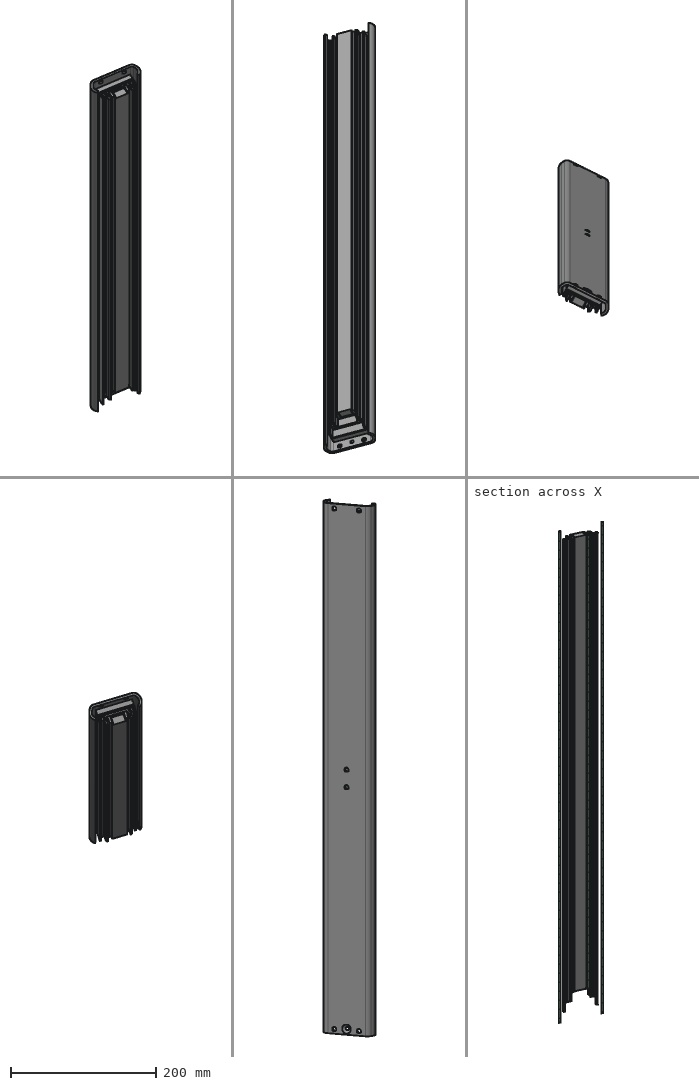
import cadquery as cq
import math

LENGTH = 750.0
WIDTH = 75.0
WALL = 4.0
CORNER_RADIUS = 8.0
SHOULDER_RADIUS = 26.0
CROWN_RADIUS = 11.0
CORNER_END = 57.0
SHOULDER_END = 68.0
CROWN_END = 148.0

HOLE_RADIUS = 3.0
END_HOLE_Y = 18.0
END_HOLE_INSET = 7.0
MIDDLE_HOLE_HEIGHTS = (LENGTH / 2, 350.0)
SUNK_HOLE_HEIGHT = 8.0
SUNK_HOLE_RADIUS = 2.0
SUNK_HEAD_RADIUS = 6.4

END_MARGIN = 15.0
STAGE_STEP = 13.5
SLIDE_TOP = LENGTH - END_MARGIN
OUTER_BOTTOM = END_MARGIN
MIDDLE_BOTTOM = OUTER_BOTTOM + STAGE_STEP
INNER_BOTTOM = MIDDLE_BOTTOM + STAGE_STEP

SPACER_BACK = 5.0
SPACER_FRONT = 13.0
SLIDE_WIDTH = 52.5
RAIL_WALL = 2.0
RAIL_BEND = 1.5
OUTER_FRONT = 24.0
MIDDLE_BACK = 16.0
MIDDLE_FRONT = 31.0
MIDDLE_WALL = 3.0
MIDDLE_BACK_WIDTH = 34.5
MIDDLE_FRONT_WIDTH = 38.0
MIDDLE_STEP_START = 20.0
MIDDLE_STEP_END = 22.5
MIDDLE_LIP_CHAMFER = 1.9

INNER_BACK = 22.0
INNER_FRONT = 32.0
INNER_BODY_WIDTH = 17.0
INNER_HEAD_WIDTH = 22.0
INNER_HEAD_THICKNESS = 2.0

CAGE_WEB = 1.0
OUTER_CAGE_FRONT = 22.5
OUTER_CAGE_WIDTH = 46.0
OUTER_CAGE_LEG = 3.0
INNER_CAGE_FRONT = 28.5
INNER_CAGE_WIDTH = 27.0
INNER_CAGE_LEG = 4.0


def curl_centres():
    """Centres (x, y) of the corner, shoulder and crown arcs, each tangent to the next."""
    corner_end = math.radians(CORNER_END)
    shoulder_end = math.radians(SHOULDER_END)
    corner_to_shoulder = SHOULDER_RADIUS - CORNER_RADIUS
    shoulder_to_crown = SHOULDER_RADIUS - CROWN_RADIUS

    shoulder_x = CORNER_RADIUS + corner_to_shoulder * math.cos(corner_end)
    crown_x = shoulder_x - shoulder_to_crown * math.cos(shoulder_end)
    crown_y = WIDTH / 2 - CROWN_RADIUS
    shoulder_y = crown_y - shoulder_to_crown * math.sin(shoulder_end)
    corner_y = shoulder_y + corner_to_shoulder * math.sin(corner_end)
    return (CORNER_RADIUS, corner_y), (shoulder_x, shoulder_y), (crown_x, crown_y)


def curl_arcs(inset):
    """The three arcs of the +Y curl as (start, middle, end) points, moved inward by inset."""
    radii = (CORNER_RADIUS, SHOULDER_RADIUS, CROWN_RADIUS)
    limits = (0.0, CORNER_END, SHOULDER_END, CROWN_END)
    arcs = []
    for i, (centre, radius) in enumerate(zip(curl_centres(), radii)):
        points = []
        for degrees in (limits[i], (limits[i] + limits[i + 1]) / 2, limits[i + 1]):
            angle = math.radians(degrees)
            reach = radius - inset
            points.append((centre[0] - reach * math.cos(angle), centre[1] + reach * math.sin(angle)))
        arcs.append(points)
    return arcs


def channel_half():
    """The half of the channel on the +Y side, without holes."""
    outer_arcs = curl_arcs(0)
    inner_arcs = curl_arcs(WALL)
    profile = cq.Workplane("XY").moveTo(0, 0).lineTo(*outer_arcs[0][0])
    for _, middle, end in outer_arcs:
        profile = profile.threePointArc(middle, end)
    profile = profile.lineTo(*inner_arcs[-1][-1])
    for start, middle, _ in reversed(inner_arcs):
        profile = profile.threePointArc(middle, start)
    return profile.lineTo(WALL, 0).close().extrude(LENGTH)


def base_holes():
    """Cutters for the end holes and the two middle holes, all along X."""
    end_heights = (END_HOLE_INSET, LENGTH - END_HOLE_INSET)
    places = [(y, z) for y in (-END_HOLE_Y, END_HOLE_Y) for z in end_heights]
    places += [(0, z) for z in MIDDLE_HOLE_HEIGHTS]
    return cq.Workplane("YZ").pushPoints(places).circle(HOLE_RADIUS).extrude(WALL)


def countersunk_hole():
    """Cone through the base, wide on the outer face."""
    return cq.Workplane(
        cq.Solid.makeCone(
            SUNK_HEAD_RADIUS,
            SUNK_HOLE_RADIUS,
            WALL,
            pnt=cq.Vector(0, 0, SUNK_HOLE_HEIGHT),
            dir=cq.Vector(1, 0, 0),
        )
    )


def make_channel():
    half = channel_half()
    return half.union(half.mirror("XZ")).cut(base_holes()).cut(countersunk_hole())


def block(back, front, width, bottom):
    """Bar centred on y = 0 that reaches up to the common top of the slide."""
    return cq.Workplane("XY").box(
        front - back, width, SLIDE_TOP - bottom, centered=(False, True, False)
    ).translate((back, 0, bottom))


def u_strip(back, front, width, web, leg, bottom):
    """U section with its web at the back and both legs pointing to +X."""
    hollow = block(back + web, front, width - 2 * leg, bottom)
    return block(back, front, width, bottom).cut(hollow)


def make_spacer():
    return block(SPACER_BACK, SPACER_FRONT, SLIDE_WIDTH, OUTER_BOTTOM)


def make_outer_rail():
    rail = u_strip(SPACER_FRONT, OUTER_FRONT, SLIDE_WIDTH, RAIL_WALL, RAIL_WALL, OUTER_BOTTOM)
    return rail.faces("<X").edges("|Z").fillet(RAIL_BEND)


def make_middle_rail():
    """U section whose legs step outward halfway along, with chamfered lips."""
    outer_back = MIDDLE_BACK_WIDTH / 2
    outer_front = MIDDLE_FRONT_WIDTH / 2
    inner_back = outer_back - MIDDLE_WALL
    inner_front = outer_front - MIDDLE_WALL
    half = [
        (MIDDLE_BACK, 0),
        (MIDDLE_BACK, outer_back),
        (MIDDLE_STEP_START, outer_back),
        (MIDDLE_STEP_END, outer_front),
        (MIDDLE_FRONT - MIDDLE_LIP_CHAMFER, outer_front),
        (MIDDLE_FRONT, outer_front - MIDDLE_LIP_CHAMFER),
        (MIDDLE_FRONT, inner_front),
        (MIDDLE_STEP_END, inner_front),
        (MIDDLE_STEP_START, inner_back),
        (MIDDLE_BACK + MIDDLE_WALL, inner_back),
        (MIDDLE_BACK + MIDDLE_WALL, 0),
    ]
    height = SLIDE_TOP - MIDDLE_BOTTOM
    rail = cq.Workplane("XY").workplane(offset=MIDDLE_BOTTOM).polyline(half).close().extrude(height)
    rail = rail.union(rail.mirror("XZ")).clean()
    return rail.faces("<X").edges("|Z").fillet(RAIL_BEND)


def make_inner_rail():
    head_back = INNER_FRONT - INNER_HEAD_THICKNESS
    body = block(INNER_BACK, head_back, INNER_BODY_WIDTH, INNER_BOTTOM)
    return body.union(block(head_back, INNER_FRONT, INNER_HEAD_WIDTH, INNER_BOTTOM))


def make_outer_cage():
    back = SPACER_FRONT + RAIL_WALL
    return u_strip(back, OUTER_CAGE_FRONT, OUTER_CAGE_WIDTH, CAGE_WEB, OUTER_CAGE_LEG, MIDDLE_BOTTOM)


def make_inner_cage():
    back = MIDDLE_BACK + MIDDLE_WALL
    return u_strip(back, INNER_CAGE_FRONT, INNER_CAGE_WIDTH, CAGE_WEB, INNER_CAGE_LEG, INNER_BOTTOM)


channel = make_channel()
spacer = make_spacer()
outer_rail = make_outer_rail()
middle_rail = make_middle_rail()
inner_rail = make_inner_rail()
outer_cage = make_outer_cage()
inner_cage = make_inner_cage()

result = cq.Compound.makeCompound([
    channel.val(),
    spacer.val(),
    outer_rail.val(),
    middle_rail.val(),
    inner_rail.val(),
    outer_cage.val(),
    inner_cage.val(),
])